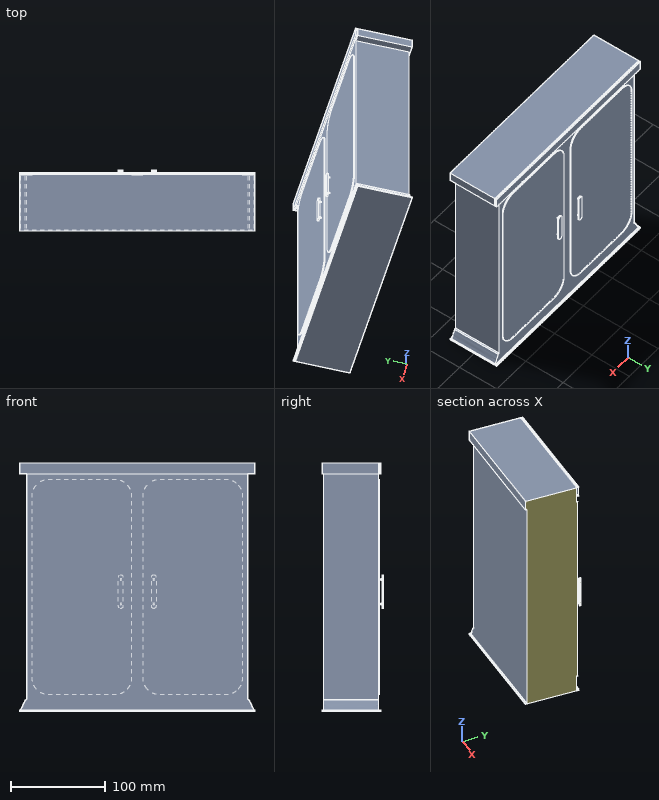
import cadquery as cq

WIDTH = 249.36
DEPTH = 64.83
HEIGHT = 263.07

SIDE_OVERHANG = 7.5
BACK_OVERHANG = 1.4
CARCASS_WIDTH = WIDTH - 2 * SIDE_OVERHANG
CARCASS_FRONT = 59.9
ROOF_THICKNESS = 11.5
ROOF_BOTTOM = HEIGHT - ROOF_THICKNESS
BASE_THICKNESS = 1.5

BEVEL_REACH = 1.5
BEVEL_TOP = 12.7
BEVEL_BOTTOM = 11.9
SLOPE_REACH = 2.8
SLOPE_BOTTOM = 8.9
OGEE_NOSE = (4.0, 7.3)
OGEE_THROAT = (4.35, 5.2)
OGEE_FOOT_REACH = 6.6
OGEE_START_DIRECTION = (1.0, -1.0)
OGEE_END_DIRECTION = (0.4, -1.0)

DOOR_THICKNESS = 1.1
DOOR_FRONT = CARCASS_FRONT + DOOR_THICKNESS
DOOR_BOTTOM = 17.7
DOOR_TOP = 245.6
DOOR_INNER_EDGE = 6.0
DOOR_OUTER_EDGE = 111.5
DOOR_CORNER_RADIUS = 17.5

HANDLE_X = 17.5
HANDLE_Z = 126.8
HANDLE_LENGTH = 35.5
HANDLE_WIDTH = 5.3
HANDLE_THICKNESS = 1.5
HANDLE_BACK = DEPTH - HANDLE_THICKNESS
POST_SPACING = 26.0
POST_DIAMETER = 1.0
COLLAR_DIAMETER = 2.0
COLLAR_LENGTH = 1.0

TRIM_GAP = 1.1
TRIM_BACK = CARCASS_FRONT + TRIM_GAP
TRIM_THICKNESS = 1.4
TRIM_FRONT = TRIM_BACK + TRIM_THICKNESS


def block(x_min, x_max, y_min, y_max, z_min, z_max):
    """A rectangular block between the given limits."""
    size = (x_max - x_min, y_max - y_min, z_max - z_min)
    return cq.Workplane("XY").box(*size, centered=False).translate((x_min, y_min, z_min))


def full_width_block(y_min, y_max, z_min, z_max):
    return block(-WIDTH / 2, WIDTH / 2, y_min, y_max, z_min, z_max)


def moulding(side):
    """Bevel, slope and ogee running front to back along the foot of one side wall."""

    def at(reach, z):
        return (side * (CARCASS_WIDTH / 2 + reach), z)

    def along(direction):
        return (side * direction[0], direction[1])

    ogee_points = [at(*OGEE_NOSE), at(*OGEE_THROAT), at(OGEE_FOOT_REACH, BASE_THICKNESS)]
    ogee_directions = [along(OGEE_START_DIRECTION), along(OGEE_END_DIRECTION)]
    profile = (
        cq.Workplane("XZ", origin=(0, BACK_OVERHANG, 0))
        .moveTo(*at(0, 0))
        .lineTo(*at(0, BEVEL_TOP))
        .lineTo(*at(BEVEL_REACH, BEVEL_BOTTOM))
        .lineTo(*at(SLOPE_REACH, SLOPE_BOTTOM))
        .spline(ogee_points, tangents=ogee_directions, includeCurrent=True)
        .lineTo(*at(OGEE_FOOT_REACH, 0))
        .close()
    )
    return profile.extrude(BACK_OVERHANG - CARCASS_FRONT)


def door(side):
    x_min, x_max = sorted((side * DOOR_INNER_EDGE, side * DOOR_OUTER_EDGE))
    panel = block(x_min, x_max, CARCASS_FRONT, DOOR_FRONT, DOOR_BOTTOM, DOOR_TOP)
    return panel.edges("|Y").fillet(DOOR_CORNER_RADIUS)


def handle(side):
    def sketch_at(y):
        return cq.Workplane("XZ", origin=(side * HANDLE_X, y, HANDLE_Z))

    def rod_pair(y_min, y_max, diameter):
        ends = sketch_at(y_min).rarray(1, POST_SPACING, 1, 2)
        return ends.circle(diameter / 2).extrude(y_min - y_max)

    bar = sketch_at(HANDLE_BACK).slot2D(HANDLE_LENGTH, HANDLE_WIDTH, 90).extrude(-HANDLE_THICKNESS)
    posts = rod_pair(DOOR_FRONT, HANDLE_BACK, POST_DIAMETER)
    collars = rod_pair(HANDLE_BACK - COLLAR_LENGTH, HANDLE_BACK, COLLAR_DIAMETER)
    return bar.union(posts).union(collars)


def trim_strip(z_min, z_max):
    return full_width_block(TRIM_BACK, TRIM_FRONT, z_min, z_max)


cabinet = block(-CARCASS_WIDTH / 2, CARCASS_WIDTH / 2, BACK_OVERHANG, CARCASS_FRONT, 0, HEIGHT)
cabinet = cabinet.union(full_width_block(0, CARCASS_FRONT, ROOF_BOTTOM, HEIGHT))
cabinet = cabinet.union(full_width_block(0, CARCASS_FRONT, 0, BASE_THICKNESS))
for side in (-1, 1):
    cabinet = cabinet.union(moulding(side))
    cabinet = cabinet.union(door(side))
    cabinet = cabinet.union(handle(side))

roof_trim = trim_strip(ROOF_BOTTOM, HEIGHT)
base_trim = trim_strip(0, BASE_THICKNESS)

result = cq.Compound.makeCompound([cabinet.val(), roof_trim.val(), base_trim.val()])